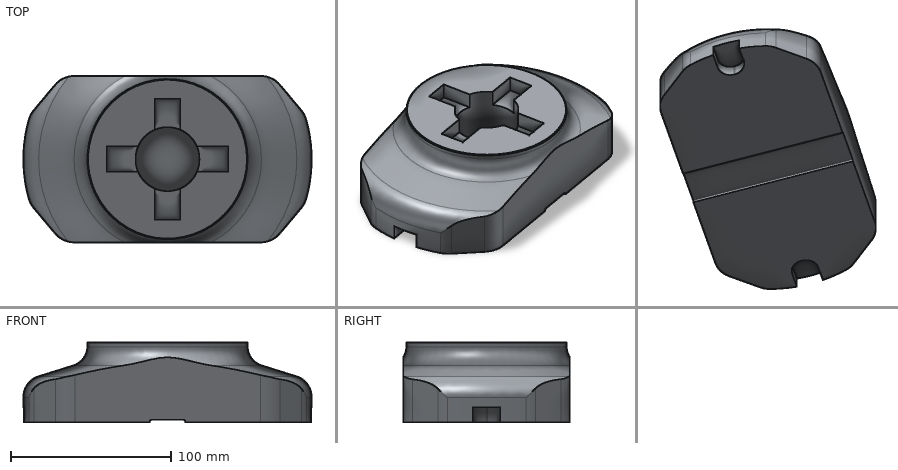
import cadquery as cq
import math

end_radius = 90.0
body_width = 104.0
body_height = 50.0

shoulder_start_z = 15.5
shoulder_fillet = 13.9
neck_radius = 100.0 / 2
neck_start_z = 47.2
neck_fillet = 12.2
slope_angle = math.radians(18.4)
rim_chamfer = 0.5

corner_x = 65.3
corner_angle = math.radians(50)
corner_blend = 16.0

bore_diameter = 40.0
bore_depth = 36.0
arm_span = 75.6
arm_width = 16.0
arm_depth = 9.7

end_slot_width = 17.0
end_slot_height = 9.4
end_slot_length = 18.0
end_slot_fillet = 8.1
groove_width = 22.0
groove_height = 1.5
groove_fillet = 0.9


def make_turned_body():
    """Solid of revolution whose arcs run almost tangent into the conical slope."""
    shoulder_center = end_radius - shoulder_fillet
    neck_center = neck_radius + neck_fillet

    def shoulder_point(angle):
        return (
            shoulder_center + shoulder_fillet * math.cos(angle),
            shoulder_start_z + shoulder_fillet * math.sin(angle),
        )

    def neck_point(angle):
        return (
            neck_center - neck_fillet * math.cos(angle),
            neck_start_z - neck_fillet * math.sin(angle),
        )

    arc_sweep = math.pi / 2 - slope_angle
    return (
        cq.Workplane("XZ")
        .lineTo(end_radius, 0)
        .lineTo(end_radius, shoulder_start_z)
        .threePointArc(shoulder_point(arc_sweep / 2), shoulder_point(arc_sweep))
        .lineTo(*neck_point(arc_sweep))
        .threePointArc(neck_point(arc_sweep / 2), (neck_radius, neck_start_z))
        .lineTo(neck_radius, body_height - rim_chamfer)
        .lineTo(neck_radius - rim_chamfer, body_height)
        .lineTo(0, body_height)
        .close()
        .revolve(360, (0, 0), (0, 1))
    )


def make_plan_prism():
    """Rounded end arcs and straight sides joined by blended cut corners."""
    half_width = body_width / 2
    tip_x = corner_x + half_width / math.tan(corner_angle)
    hexagon = (
        cq.Workplane("XY")
        .polyline([
            (tip_x, 0),
            (corner_x, half_width),
            (-corner_x, half_width),
            (-tip_x, 0),
            (-corner_x, -half_width),
            (corner_x, -half_width),
        ])
        .close()
        .extrude(body_height)
    )
    end_disc = cq.Workplane("XY").circle(end_radius).extrude(body_height)
    return hexagon.intersect(end_disc).edges("|Z").fillet(corner_blend)


def make_socket():
    """Blind central bore with four shallower arms."""
    top = cq.Workplane("XY").workplane(offset=body_height)
    bore = top.circle(bore_diameter / 2).extrude(-bore_depth)
    arm_along_x = top.rect(arm_span, arm_width).extrude(-arm_depth)
    arm_along_y = top.rect(arm_width, arm_span).extrude(-arm_depth)
    return bore.union(arm_along_x).union(arm_along_y)


def make_end_slot(side):
    """Slot open to the bottom and to one end (side is -1 or 1), with rounded inner corners."""
    slot_center_x = side * (end_radius - end_slot_length / 2)
    inner_edges = "|Z and >X" if side < 0 else "|Z and <X"
    return (
        cq.Workplane("XY")
        .center(slot_center_x, 0)
        .rect(end_slot_length, end_slot_width)
        .extrude(end_slot_height)
        .edges(inner_edges)
        .fillet(end_slot_fillet)
    )


def make_bottom_groove():
    """Shallow groove across the full width of the underside."""
    return (
        cq.Workplane("XY")
        .rect(groove_width, body_width)
        .extrude(groove_height)
        .edges("|Y and >Z")
        .fillet(groove_fillet)
    )


result = make_turned_body().intersect(make_plan_prism())
result = result.cut(make_socket()).cut(make_bottom_groove())
for end_side in (-1, 1):
    result = result.cut(make_end_slot(end_side))